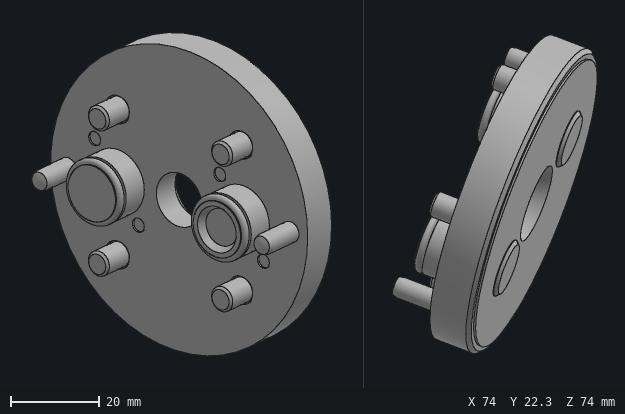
import cadquery as cq
import math


disc_radius = 37.0
edge_thickness = 8.9
shoulder_thickness = 9.85
edge_chamfer = shoulder_thickness - edge_thickness
disc_thickness = 10.35
raised_face_radius = 34.8

bore_radius = 6.5
bore_bevel_depth = 3.5
bore_bevel_width = 2.6

coupling_offset = 18.0
boss_radius = 8.0
boss_length = 6.65
core_radius = 6.8
core_length = 9.1
core_back = 11.3
core_chamfer = 0.8
ring_wire_radius = 0.95
ring_center_radius = 7.1
ring_center_height = 7.85
socket_mouth_radius = 5.55
socket_floor_radius = 4.5
socket_depth = 1.8

pin_hole_radius = 1.7
pin_hole_depth = 0.5
pin_hole_offset_x = 6.3
pin_hole_offset_z = 9.0

post_spacing = 35.45
post_radius = 3.0
post_length = 7.4
post_chamfer = 0.6
post_recess_radius = 3.4
post_recess_depth = 0.5

dowel_offset = 32.0
dowel_radius = 2.5
dowel_straight_length = 9.3
dowel_taper_length = 1.2
dowel_taper_angle = 15.0
dowel_length = 11.0


def cylinder(x, z, radius, start, end):
    """Cylinder along Y centred on (x, z), from Y = start to Y = end."""
    return cq.Workplane("XZ", origin=(x, start, z)).circle(radius).extrude(start - end)


def turn(profile, x=0):
    """Revolve an XY half profile about Y and move it along X."""
    return profile.revolve(360, (0, 0, 0), (0, 1, 0)).translate((x, 0, 0))


def make_disc():
    profile = (
        cq.Workplane("XY")
        .moveTo(bore_radius, 0)
        .lineTo(disc_radius, 0)
        .lineTo(disc_radius, edge_thickness)
        .lineTo(disc_radius - edge_chamfer, shoulder_thickness)
        .lineTo(raised_face_radius, shoulder_thickness)
        .lineTo(raised_face_radius, disc_thickness)
        .lineTo(bore_radius + bore_bevel_width, disc_thickness)
        .lineTo(bore_radius, disc_thickness - bore_bevel_depth)
        .close()
    )
    return turn(profile)


def make_coupling(x):
    boss = cylinder(x, 0, boss_radius, -boss_length, disc_thickness)
    core = cylinder(x, 0, core_radius, -core_length, core_back).faces(">Y").chamfer(core_chamfer)
    wire = cq.Workplane("XY").moveTo(ring_center_radius, -ring_center_height).circle(ring_wire_radius)
    ring = turn(wire, x)
    return boss.union(core).union(ring)


def make_socket(x):
    """Conical recess in the front end of a coupling core."""
    profile = (
        cq.Workplane("XY", origin=(0, -core_length, 0))
        .lineTo(socket_mouth_radius, 0)
        .lineTo(socket_floor_radius, socket_depth)
        .lineTo(0, socket_depth)
        .close()
    )
    return turn(profile, x)


def make_post(x, z):
    return cylinder(x, z, post_radius, -post_length, post_recess_depth).faces("<Y").chamfer(post_chamfer)


def make_dowel(x):
    taper_end = dowel_straight_length + dowel_taper_length
    tip_radius = dowel_radius - dowel_taper_length * math.tan(math.radians(dowel_taper_angle))
    dome_height = dowel_length - taper_end
    dome_radius = (tip_radius**2 + dome_height**2) / (2 * dome_height)
    half_angle = math.asin(tip_radius / dome_radius) / 2
    dome_middle = (
        dome_radius * math.sin(half_angle),
        -dowel_length + dome_radius * (1 - math.cos(half_angle)),
    )
    profile = (
        cq.Workplane("XY")
        .lineTo(dowel_radius, 0)
        .lineTo(dowel_radius, -dowel_straight_length)
        .lineTo(tip_radius, -taper_end)
        .threePointArc(dome_middle, (0, -dowel_length))
        .close()
    )
    return turn(profile, x)


result = make_disc()

for post_x in (-post_spacing / 2, post_spacing / 2):
    for post_z in (-post_spacing / 2, post_spacing / 2):
        result = result.cut(cylinder(post_x, post_z, post_recess_radius, 0, post_recess_depth))
        result = result.union(make_post(post_x, post_z))

for dowel_x in (-dowel_offset, dowel_offset):
    result = result.union(make_dowel(dowel_x))

for coupling_x in (-coupling_offset, coupling_offset):
    for side in (-1, 1):
        hole_x = coupling_x + side * pin_hole_offset_x
        hole_z = -side * pin_hole_offset_z
        result = result.cut(cylinder(hole_x, hole_z, pin_hole_radius, 0, pin_hole_depth))

open_coupling = make_coupling(coupling_offset).cut(make_socket(coupling_offset))
result = result.union(open_coupling)

plug = make_socket(-coupling_offset)
plugged_coupling = make_coupling(-coupling_offset).cut(plug).union(plug, clean=False)
result = result.union(plugged_coupling, clean=False)